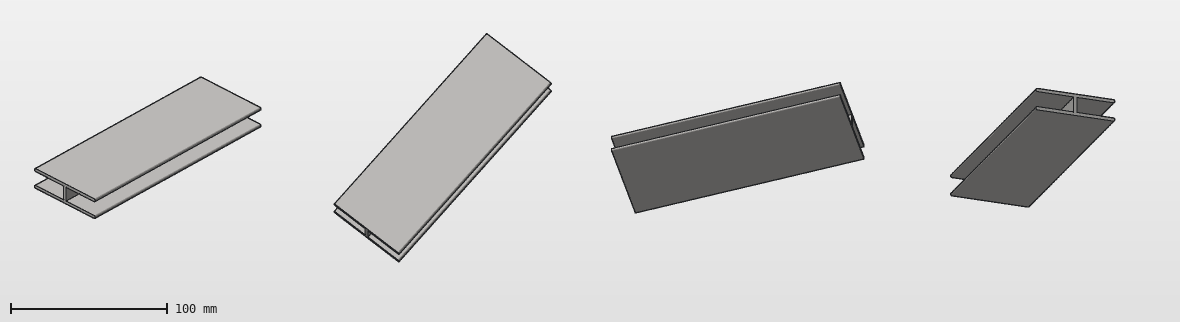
import cadquery as cq

width = 54.0
length = 152.4
height = 15.0

flange_thickness = 2.3
web_thickness = 2.3

flange_offset = (height - flange_thickness) / 2


def flange(side):
    """Flat plate above (+1) or below (-1) the web, with fully rounded long edges."""
    profile = cq.Workplane("XZ").center(0, side * flange_offset).slot2D(width, flange_thickness)
    return profile.extrude(length / 2, both=True)


web = cq.Workplane("XY").box(web_thickness, length, 2 * flange_offset)

result = web.union(flange(1)).union(flange(-1))